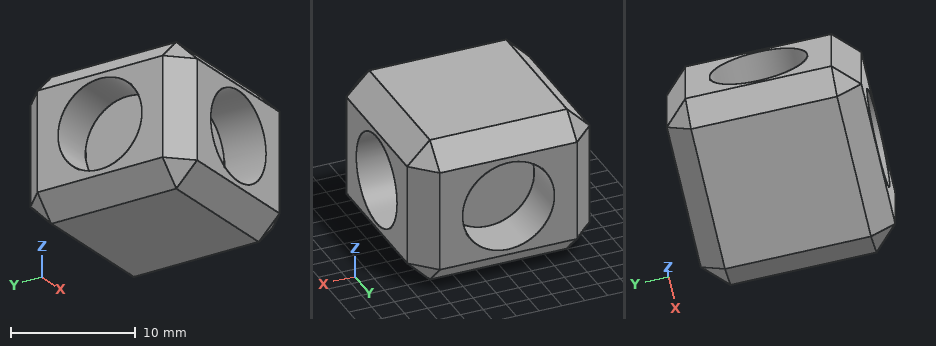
import cadquery as cq

width = 16.0
height = 13.0
chamfer = 2.0
hole_diameter = 8.05
hole_depth = 4.0


def side_hole(turn):
    """Blind round pocket in the -Y side, turned about Z by the given angle."""
    return (
        cq.Workplane("XZ", origin=(0, -width / 2, 0))
        .circle(hole_diameter / 2)
        .extrude(-hole_depth)
        .rotate((0, 0, 0), (0, 0, 1), turn)
    )


result = cq.Workplane("XY").box(width, width, height).edges().chamfer(chamfer)

for turn in (0, 90, 180, 270):
    result = result.cut(side_hole(turn))